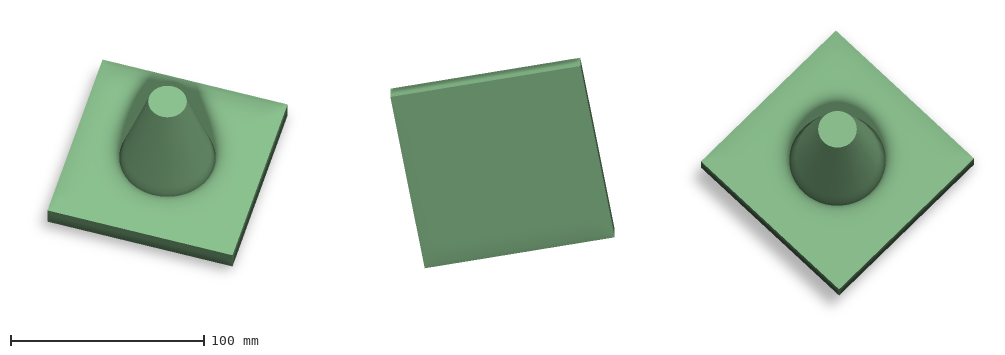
import cadquery as cq

plate_side = 100.0
plate_thickness = 10.0

cone_base_diameter = 50.0
cone_top_diameter = 20.0
cone_height = 50.0

plate = cq.Workplane("XY").box(
    plate_side, plate_side, plate_thickness, centered=(True, True, False)
)

cone = cq.Workplane(
    cq.Solid.makeCone(
        cone_base_diameter / 2,
        cone_top_diameter / 2,
        cone_height,
        pnt=cq.Vector(0, 0, plate_thickness),
    )
)

result = plate.union(cone)